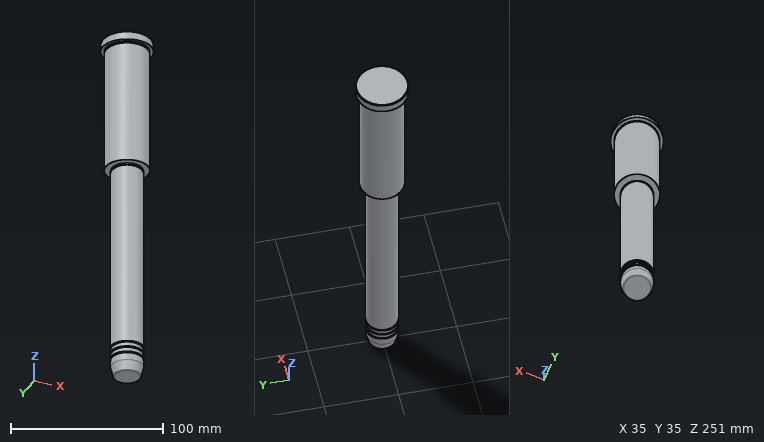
import cadquery as cq

length = 251.0
head_diameter = 35.0
body_diameter = 30.0
shank_diameter = 22.0
tip_diameter = 18.5

head_height = 6.0
body_bottom = 155.4
tip_height = 7.0

head_chamfer = 0.5
tip_fillet = 0.5

relief_width = 1.5
head_relief_depth = 0.3
shank_relief_depth = 0.5

ring_width = 1.0
ring_depth = 0.3
ring_pitch = 4.0
lowest_ring_bottom = 12.0
ring_count = 3


def cylinder(diameter, bottom, top):
    """Cylinder on the Z axis between two heights."""
    return cq.Workplane("XY").workplane(offset=bottom).circle(diameter / 2).extrude(top - bottom)


def groove(diameter, depth, bottom, width):
    """Ring of material to remove from a cylinder of the given diameter."""
    outer = cylinder(diameter, bottom, bottom + width)
    core = cylinder(diameter - 2 * depth, bottom, bottom + width)
    return outer.cut(core)


def v_groove(diameter, depth, bottom, width):
    """V-shaped ring of material to remove from a cylinder of the given diameter."""
    radius = diameter / 2
    return (
        cq.Workplane("XZ")
        .moveTo(radius, bottom)
        .lineTo(radius - depth, bottom + width / 2)
        .lineTo(radius, bottom + width)
        .close()
        .revolve(360, (0, 0, 0), (0, 1, 0))
    )


head_bottom = length - head_height
head = cylinder(head_diameter, head_bottom, length).faces(">Z").edges().chamfer(head_chamfer)
body = cylinder(body_diameter, body_bottom, head_bottom)
shank = cylinder(shank_diameter, tip_height, body_bottom)
tip = (
    cq.Workplane("XY")
    .circle(tip_diameter / 2)
    .workplane(offset=tip_height)
    .circle(shank_diameter / 2)
    .loft(ruled=True)
    .faces("<Z")
    .edges()
    .fillet(tip_fillet)
)
result = head.union(body).union(shank).union(tip)

result = result.cut(v_groove(body_diameter, head_relief_depth, head_bottom - relief_width, relief_width))
result = result.cut(groove(shank_diameter, shank_relief_depth, body_bottom - relief_width, relief_width))

for index in range(ring_count):
    ring_bottom = lowest_ring_bottom + index * ring_pitch
    result = result.cut(v_groove(shank_diameter, ring_depth, ring_bottom, ring_width))